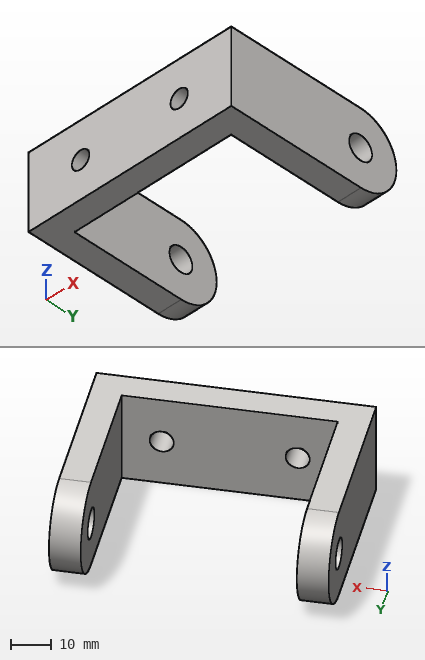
import cadquery as cq

width = 70.0
depth = 57.5
height = 25.0
wall = 8.0
pivot_hole_diameter = 8.0
mount_hole_diameter = 6.0
mount_hole_spacing = 34.0

end_radius = height / 2
pivot_y = depth - end_radius
inner_width = width - 2 * wall


def side_profile():
    """Round-ended plate outline, extruded across the full width along X."""
    return (
        cq.Workplane("YZ", origin=(-width / 2, 0, 0))
        .moveTo(0, -end_radius)
        .lineTo(pivot_y, -end_radius)
        .threePointArc((depth, 0), (pivot_y, end_radius))
        .lineTo(0, end_radius)
        .close()
        .extrude(width)
    )


def arm_gap():
    """Open space between the two arms, behind the base wall."""
    return (
        cq.Workplane("XY", origin=(0, wall, 0))
        .box(inner_width, depth, height, centered=(True, False, True))
    )


def pivot_hole():
    """Cross hole through both arms."""
    return (
        cq.Workplane("YZ", origin=(-width / 2, 0, 0))
        .center(pivot_y, 0)
        .circle(pivot_hole_diameter / 2)
        .extrude(width)
    )


def mount_holes():
    """Pair of holes through the base wall."""
    return (
        cq.Workplane("XZ")
        .pushPoints([(side * mount_hole_spacing / 2, 0) for side in (-1, 1)])
        .circle(mount_hole_diameter / 2)
        .extrude(-wall)
    )


result = side_profile().cut(arm_gap()).cut(pivot_hole()).cut(mount_holes())